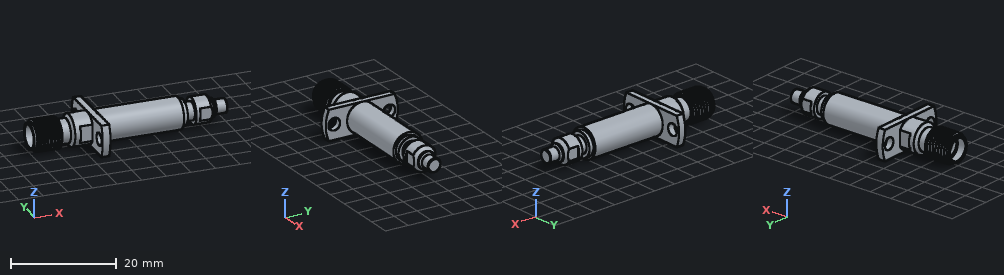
import cadquery as cq
import math

TOTAL_LENGTH = 39.75

BODY_RADIUS = 3.25
COLLAR_RADIUS = 2.7
FRONT_NECK_RADIUS = 2.45
REAR_NECK_RADIUS = 1.85
TIP_RADIUS = 1.45

THREAD_START = 0.55
THREAD_END = 5.7
SHOULDER_START = 7.5
SHOULDER_END = 8.05
FLANGE_START = 11.75
FLANGE_THICKNESS = 1.6
BODY_END = 30.17
STEP_END = 31.15
NUT_START = 32.9
NUT_END = 35.97
RING_START = NUT_END + COLLAR_RADIUS - REAR_NECK_RADIUS
RING_LENGTH = 0.28
TIP_START = RING_START + RING_LENGTH + REAR_NECK_RADIUS - TIP_RADIUS
TIP_CHAMFER = 0.1

CREST_RADIUS = 3.18
ROOT_RADIUS = 2.75
FOUR_TURN_LENGTH = 2.82
PITCH = FOUR_TURN_LENGTH / 4
FLANK_ANGLE = 30.0
ROOT_FLAT = 0.08
GROOVE_START = 0.35
GROOVE_OVERCUT = 0.1

FLANGE_WIDTH = 15.95
FLANGE_RADIUS = FLANGE_WIDTH / 2
FLANGE_HEIGHT = 2 * BODY_RADIUS
HOLE_OFFSET = 6.1
HOLE_RADIUS = 1.27

FRONT_FLAT_START = 9.22
FRONT_FLAT_DISTANCE = 2.8
REAR_FLAT_START = 33.75
REAR_FLAT_DISTANCE = 2.4

BORE_RADIUS = 2.3
BORE_DEPTH = 1.85
RECESS_RADIUS = 2.05
RECESS_DEPTH = 0.15
CONTACT_RADIUS = 0.55
CONTACT_HEIGHT = 0.08
PIN_HOLE_RADIUS = 0.45
PIN_HOLE_DEPTH = 2.0
DRILL_POINT_ANGLE = 118.0


def revolve_about_x(points):
    """Turn a closed (x, radius) outline around the X axis."""
    return cq.Workplane("XY").polyline(points).close().revolve(360, (0, 0, 0), (1, 0, 0))


def cylinder(start, length, radius):
    return cq.Workplane("YZ", origin=(start, 0, 0)).circle(radius).extrude(length)


def turned_body():
    return revolve_about_x([
        (0, 0),
        (0, COLLAR_RADIUS),
        (THREAD_END, COLLAR_RADIUS),
        (THREAD_END, FRONT_NECK_RADIUS),
        (SHOULDER_START, FRONT_NECK_RADIUS),
        (SHOULDER_END, BODY_RADIUS),
        (BODY_END, BODY_RADIUS),
        (BODY_END, COLLAR_RADIUS),
        (STEP_END, COLLAR_RADIUS),
        (STEP_END, REAR_NECK_RADIUS),
        (NUT_START, REAR_NECK_RADIUS),
        (NUT_START, COLLAR_RADIUS),
        (NUT_END, COLLAR_RADIUS),
        (RING_START, REAR_NECK_RADIUS),
        (RING_START + RING_LENGTH, REAR_NECK_RADIUS),
        (TIP_START, TIP_RADIUS),
        (TOTAL_LENGTH - TIP_CHAMFER, TIP_RADIUS),
        (TOTAL_LENGTH, TIP_RADIUS - TIP_CHAMFER),
        (TOTAL_LENGTH, 0),
    ])


def thread():
    """Chamfered sleeve with a right-handed helical groove."""
    rise = CREST_RADIUS - COLLAR_RADIUS
    lead_in = rise * math.tan(math.radians(FLANK_ANGLE))
    blank = revolve_about_x([
        (THREAD_START, 0),
        (THREAD_START, COLLAR_RADIUS),
        (THREAD_START + lead_in, CREST_RADIUS),
        (THREAD_END - lead_in, CREST_RADIUS),
        (THREAD_END, COLLAR_RADIUS),
        (THREAD_END, 0),
    ])
    outer_radius = CREST_RADIUS + GROOVE_OVERCUT
    half_root = ROOT_FLAT / 2
    half_mouth = half_root + (outer_radius - ROOT_RADIUS) * math.tan(math.radians(FLANK_ANGLE))
    helix_length = THREAD_END + PITCH - GROOVE_START
    helix = cq.Wire.makeHelix(PITCH, helix_length, ROOT_RADIUS)
    groove = (
        cq.Workplane("XZ")
        .polyline([
            (ROOT_RADIUS, -half_root),
            (outer_radius, -half_mouth),
            (outer_radius, half_mouth),
            (ROOT_RADIUS, half_root),
        ])
        .close()
        .sweep(cq.Workplane(obj=helix), isFrenet=True)
    )
    groove = groove.rotate((0, 0, 0), (1, 1, 1), 120).translate((GROOVE_START, 0, 0))
    return blank.cut(groove)


def flange():
    """Plate with rounded ends and two mounting holes."""
    blank = cylinder(FLANGE_START, FLANGE_THICKNESS, FLANGE_RADIUS)
    middle = FLANGE_START + FLANGE_THICKNESS / 2
    strip = cq.Workplane("XY", origin=(middle, 0, 0)).box(FLANGE_THICKNESS, FLANGE_WIDTH, FLANGE_HEIGHT)
    holes = (
        cq.Workplane("YZ", origin=(FLANGE_START, 0, 0))
        .pushPoints([(-HOLE_OFFSET, 0), (HOLE_OFFSET, 0)])
        .circle(HOLE_RADIUS)
        .extrude(FLANGE_THICKNESS)
    )
    return blank.intersect(strip).cut(holes)


def cut_flats(body, start, end, distance):
    """Mill two opposite flats at the given distance from the axis."""
    length = end - start
    for side in (-1, 1):
        cutter = (
            cq.Workplane("XY", origin=(start + length / 2, side * (distance + BODY_RADIUS / 2), 0))
            .box(length, BODY_RADIUS, 2 * BODY_RADIUS)
        )
        body = body.cut(cutter)
    return body


def cut_socket(body):
    """Stepped front bore with a raised contact and its drilled pin hole."""
    recess_floor = BORE_DEPTH + RECESS_DEPTH
    body = body.cut(cylinder(0, BORE_DEPTH, BORE_RADIUS))
    body = body.cut(cylinder(0, recess_floor, RECESS_RADIUS))
    contact_face = recess_floor - CONTACT_HEIGHT
    body = body.union(cylinder(contact_face, CONTACT_HEIGHT, CONTACT_RADIUS))
    hole_end = contact_face + PIN_HOLE_DEPTH
    point_length = PIN_HOLE_RADIUS / math.tan(math.radians(DRILL_POINT_ANGLE / 2))
    pin_hole = revolve_about_x([
        (contact_face, 0),
        (contact_face, PIN_HOLE_RADIUS),
        (hole_end, PIN_HOLE_RADIUS),
        (hole_end + point_length, 0),
    ])
    return body.cut(pin_hole)


adapter = turned_body().union(thread())
adapter = cut_flats(adapter, FRONT_FLAT_START, FLANGE_START, FRONT_FLAT_DISTANCE)
adapter = cut_flats(adapter, REAR_FLAT_START, TIP_START, REAR_FLAT_DISTANCE)
adapter = adapter.union(flange())
result = cut_socket(adapter)